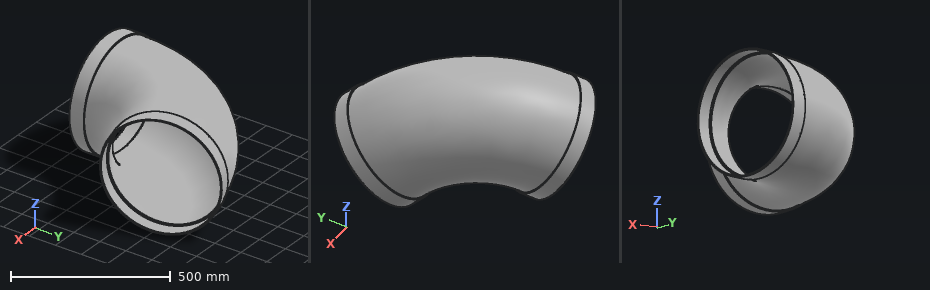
import cadquery as cq
import math

bend_angle = 75.0
bend_radius = 400.0
pipe_outer_diameter = 400.0
wall = 4.5
socket_depth = 50.0

pipe_inner_diameter = pipe_outer_diameter - 2 * wall
socket_bore_diameter = pipe_outer_diameter
socket_outer_diameter = socket_bore_diameter + 2 * wall
flare_length = wall
socket_length = flare_length + socket_depth

angle = math.radians(bend_angle)
bend_end = (
    bend_radius * (1 - math.cos(angle)),
    bend_radius * math.sin(angle),
    0,
)

inlet_plane = cq.Plane(origin=(0, 0, 0), xDir=(1, 0, 0), normal=(0, -1, 0))
outlet_plane = cq.Plane(
    origin=bend_end,
    xDir=(0, 0, 1),
    normal=(math.sin(angle), math.cos(angle), 0),
)


def bent_pipe():
    """Tube of constant wall, revolved about an axis parallel to Z."""
    return (
        cq.Workplane(inlet_plane)
        .circle(pipe_outer_diameter / 2)
        .circle(pipe_inner_diameter / 2)
        .revolve(bend_angle, (bend_radius, 1, 0), (bend_radius, 0, 0))
    )


def socket(end_plane):
    """Ring on one end of the bend; its bore flares from the pipe bore to the socket bore."""
    ring = cq.Workplane(end_plane).circle(socket_outer_diameter / 2).extrude(socket_length)
    flare = (
        cq.Workplane(end_plane)
        .circle(pipe_inner_diameter / 2)
        .workplane(offset=flare_length)
        .circle(socket_bore_diameter / 2)
        .loft()
    )
    bore = (
        cq.Workplane(end_plane)
        .workplane(offset=flare_length)
        .circle(socket_bore_diameter / 2)
        .extrude(socket_depth)
    )
    return ring.cut(flare).cut(bore)


result = bent_pipe().union(socket(inlet_plane)).union(socket(outlet_plane))